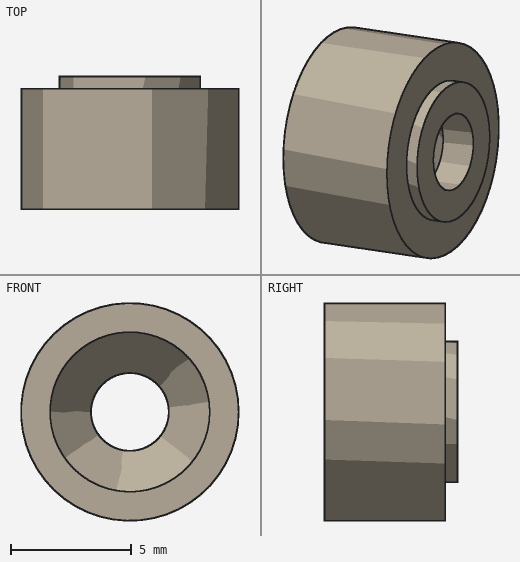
import cadquery as cq

body_diameter = 9.0
body_length = 4.995
spigot_diameter = 5.83
spigot_length = 0.5
bore_diameter = 6.6
bore_depth = 2.35
hole_diameter = 3.2
cone_depth = (bore_diameter - hole_diameter) / 2

total_length = body_length + spigot_length
cone_end = bore_depth + cone_depth


def make_outside():
    """Half section of the body and spigot, revolved about the Y axis."""
    return (
        cq.Workplane("XY")
        .lineTo(body_diameter / 2, 0)
        .lineTo(body_diameter / 2, body_length)
        .lineTo(spigot_diameter / 2, body_length)
        .lineTo(spigot_diameter / 2, total_length)
        .lineTo(0, total_length)
        .close()
        .revolve(360, (0, 0), (0, 1))
    )


def make_opening():
    """Straight bore, conical floor and through hole, revolved about the Y axis."""
    return (
        cq.Workplane("XY")
        .lineTo(bore_diameter / 2, 0)
        .lineTo(bore_diameter / 2, bore_depth)
        .lineTo(hole_diameter / 2, cone_end)
        .lineTo(hole_diameter / 2, total_length)
        .lineTo(0, total_length)
        .close()
        .revolve(360, (0, 0), (0, 1))
    )


result = make_outside().cut(make_opening())